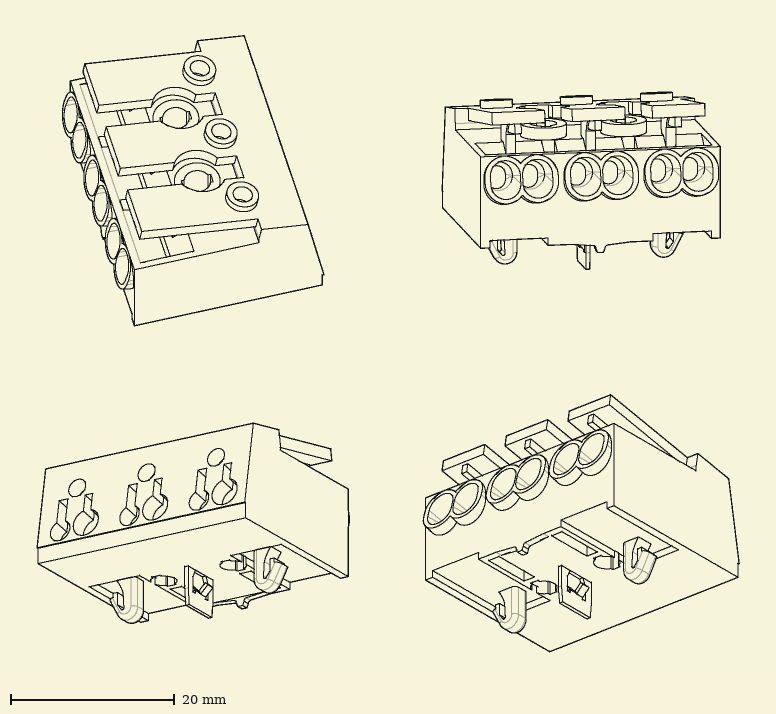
import cadquery as cq
import math

WIDTH = 29.9
POLES = 3
POLE_PITCH = 10.0

BACK_FOOT_Y = 23.83
BACK_LEDGE_Y = 24.05
BACK_LEDGE_Z = 2.0
RIDGE_Y = 22.05
RIDGE_Z = 12.98
DECK_Z = 11.45
STEP_Y = 15.8
STEP_KINK_Z = 12.23
ROOF_ANGLE = 10.0

POCKET_HALF_WIDTH = 14.1
POCKET_FRONT_Y = 1.0
POCKET_BACK_Y = 7.77
COVER_BACK_Y = 4.43
COVER_BACK_Z = 10.7
VALLEY_Y = 5.1
VALLEY_Z = 9.7

LEVER_WIDTH = 6.58
LEVER_THICK = 1.52
LEVER_REACH = 20.95
LEVER_ROOT = 5.68
RING_OUTER_R = 1.97
RING_HOLE_R = 1.2
RING_HEIGHT = 0.93
RING_Y = 14.92
CLEARANCE_R = 3.23
CLEARANCE_Y = 10.97
LEG_WIDTH = 1.2
RIB_WIDTH = 0.8
RIB_DEPTH = 1.23
RIB_INSET = 0.5
RIB_LENGTH = 4.48

BOSS_R = 2.8
BOSS_Y = 10.67
BOSS_TOP_Z = 12.95
SCREW_HOLE_R = 1.6
KEYWAY_WIDTH = 1.17
KEYWAY_LENGTH = 3.7
SLOT_WIDTH = 1.65
SLOT_FRONT_Y = 1.08

ENTRY_ANGLE = 15.0
ENTRY_OFFSET = 2.0
ENTRY_Y = -0.75
ENTRY_Z = 8.58
NOZZLE_DIAMETER = 5.15
NOZZLE_HEIGHT = 5.83
NOZZLE_LENGTH = 1.8
MOUTH_DIAMETER = 3.75
MOUTH_HEIGHT = 4.75
NECK_DIAMETER = 3.55
NECK_HEIGHT = 3.6
NECK_Y = 3.92
THROAT_END_DIAMETER = 2.2
THROAT_END_HEIGHT = 2.87
THROAT_END_Y = 4.95

BACK_HOLE_DEPTH = 2.4
BACK_HOLE_OFFSET = 1.82
LARGE_HOLE_DIAMETER = 3.6
LARGE_HOLE_Z = 4.1
LARGE_NECK_WIDTH = 1.08
SMALL_HOLE_DIAMETER = 2.78
SMALL_HOLE_Z = 3.7
SMALL_NECK_WIDTH = 1.25
NECK_TOP_Z = 8.0
UPPER_HOLE_DIAMETER = 2.42
UPPER_HOLE_Z = 9.27

RECESS_INNER_X = 6.55
RECESS_OUTER_X = 13.8
RECESS_HEIGHT = 0.93
RECESS_DEPTH = 13.75
HOOK_WIDTH = 2.42
HOOK_Y = 10.58
HOOK_BOTTOM_Z = -4.3
HOOK_ROUNDING = 0.6
NUB_DEPTH = 1.02

BLADE_THICK = 0.5
BLADE_WIDTH = 5.75
BLADE_TIP_WIDTH = 5.25
BLADE_TIP_Z = -4.95
BLADE_TAPER_Z = -2.85
BLADE_INSERTION = 1.2
WINDOW_WIDTH = 3.47
WINDOW_TOP_WIDTH = 2.4
WINDOW_BOTTOM_Z = -3.02
WINDOW_SHOULDER_Z = -1.0
TAB_WIDTH = 1.2
TAB_ANGLE = 45
TAB_LENGTH = 1.55
TAB_BASE_Z = -2.65
TAB_THICK = 0.5

SLOPE = math.tan(math.radians(ROOF_ANGLE))
ROOF_SIN = math.sin(math.radians(ROOF_ANGLE))
ROOF_COS = math.cos(math.radians(ROOF_ANGLE))
pole_xs = [(i - (POLES - 1) / 2) * POLE_PITCH for i in range(POLES)]
boss_xs = [(i - (POLES - 2) / 2) * POLE_PITCH for i in range(POLES - 1)]
entry_xs = [x + side * ENTRY_OFFSET for x in pole_xs for side in (-1, 1)]


def roof_z(y):
    """Height of the sloped roof plane, which also carries the lever tops."""
    return RIDGE_Z + (RIDGE_Y - y) * SLOPE


def along_roof(y):
    """Distance from the ridge, measured along the roof, of the roof point at y."""
    return (y - RIDGE_Y) / ROOF_COS


def roof_plane():
    """Plane on the roof, with its origin on the ridge and local y running backwards."""
    return cq.Plane(origin=(0, RIDGE_Y, RIDGE_Z), xDir=(1, 0, 0), normal=(0, ROOF_SIN, ROOF_COS))


def roof_box(x, width, y_range, z_range):
    """Box aligned with the roof."""
    y0, y1 = y_range
    z0, z1 = z_range
    return (
        cq.Workplane(roof_plane())
        .workplane(offset=z0)
        .center(x, (y0 + y1) / 2)
        .rect(width, y1 - y0)
        .extrude(z1 - z0)
    )


def side_prism(points, width, x=0.0):
    """Prism along X with a (y, z) outline, centred on x."""
    return cq.Workplane("YZ", origin=(x, 0, 0)).polyline(points).close().extrude(width / 2, both=True)


def make_block():
    step_top_y = STEP_Y + (roof_z(STEP_Y) - STEP_KINK_Z) * SLOPE
    outline = [
        (0, 0),
        (BACK_FOOT_Y, 0),
        (BACK_FOOT_Y, BACK_LEDGE_Z),
        (BACK_LEDGE_Y, BACK_LEDGE_Z),
        (RIDGE_Y, RIDGE_Z),
        (step_top_y, roof_z(step_top_y)),
        (STEP_Y, STEP_KINK_Z),
        (STEP_Y, DECK_Z),
        (0, DECK_Z),
    ]
    return side_prism(outline, WIDTH)


def make_deck_pocket():
    outline = [
        (POCKET_FRONT_Y, DECK_Z),
        (COVER_BACK_Y, COVER_BACK_Z),
        (VALLEY_Y, VALLEY_Z),
        (POCKET_BACK_Y, DECK_Z),
    ]
    return side_prism(outline, 2 * POCKET_HALF_WIDTH)


def make_lever(x):
    """Sloped lever with its stiffening rib and the leg that carries it."""
    plate = roof_box(x, LEVER_WIDTH, (-LEVER_REACH, -LEVER_ROOT), (-LEVER_THICK, 0))
    for boss_x in boss_xs:
        plate = plate.cut(
            cq.Workplane(roof_plane())
            .center(boss_x, along_roof(CLEARANCE_Y))
            .circle(CLEARANCE_R)
            .extrude(-2 * LEVER_THICK)
        )
    rib_end = RIB_INSET - LEVER_REACH
    rib_bottom = -LEVER_THICK - RIB_DEPTH
    rib = roof_box(x, RIB_WIDTH, (rib_end, rib_end + RIB_LENGTH), (rib_bottom, -LEVER_THICK))
    return plate.union(rib).union(make_leg(x))


def make_leg(x):
    front_y, back_y, embedded_z = 6.0, 8.73, 9.27
    curve_start_z, curve_middle, curve_end_y = 12.77, (5.45, 13.8), 4.45
    underside = LEVER_THICK / ROOF_COS
    back_top_y = 9.33
    return (
        cq.Workplane("YZ", origin=(x, 0, 0))
        .moveTo(back_y, embedded_z)
        .lineTo(front_y, embedded_z)
        .lineTo(front_y, curve_start_z)
        .threePointArc(curve_middle, (curve_end_y, roof_z(curve_end_y) - underside))
        .lineTo(back_top_y, roof_z(back_top_y) - underside)
        .close()
        .extrude(LEG_WIDTH / 2, both=True)
    )


def make_rings():
    return (
        cq.Workplane(roof_plane())
        .pushPoints([(x, along_roof(RING_Y)) for x in pole_xs])
        .circle(RING_OUTER_R)
        .extrude(RING_HEIGHT)
    )


def make_ring_holes():
    return (
        cq.Workplane(roof_plane())
        .workplane(offset=RING_HEIGHT)
        .pushPoints([(x, along_roof(RING_Y)) for x in pole_xs])
        .circle(RING_HOLE_R)
        .extrude(-RING_HEIGHT - LEVER_THICK)
    )


def make_bosses():
    return (
        cq.Workplane("XY")
        .pushPoints([(x, BOSS_Y) for x in boss_xs])
        .circle(BOSS_R)
        .extrude(BOSS_TOP_Z)
    )


def make_screw_holes():
    """Through holes with two keyways."""
    centres = [(x, BOSS_Y) for x in boss_xs]
    rounds = cq.Workplane("XY").pushPoints(centres).circle(SCREW_HOLE_R).extrude(BOSS_TOP_Z)
    keyways = cq.Workplane("XY").pushPoints(centres).rect(KEYWAY_WIDTH, KEYWAY_LENGTH).extrude(BOSS_TOP_Z)
    return rounds.union(keyways)


def make_slots():
    """Open slots between the poles, from the front wall back to the bosses."""
    length = BOSS_Y - BOSS_R - SLOT_FRONT_Y
    return (
        cq.Workplane("XY")
        .pushPoints([(x, SLOT_FRONT_Y + length / 2) for x in boss_xs])
        .rect(SLOT_WIDTH, length)
        .extrude(DECK_Z)
    )


def entry_workplane(x):
    """Workplane on the slanted face of a wire entry, with its normal pointing inwards."""
    angle = math.radians(ENTRY_ANGLE)
    inwards = (0, math.cos(angle), -math.sin(angle))
    return cq.Workplane(cq.Plane(origin=(x, ENTRY_Y, ENTRY_Z), xDir=(1, 0, 0), normal=inwards))


def make_nozzle(x):
    return entry_workplane(x).slot2D(NOZZLE_HEIGHT, NOZZLE_DIAMETER, 90).extrude(NOZZLE_LENGTH)


def make_funnel(x):
    """Wire entry over a level floor: a mouth that narrows to a neck, then to the end of the throat."""
    floor_z = ENTRY_Z - MOUTH_HEIGHT / 2 * math.cos(math.radians(ENTRY_ANGLE))

    def upright_section(y, height, diameter):
        centre = (x, y, floor_z + height / 2)
        plane = cq.Plane(origin=centre, xDir=(1, 0, 0), normal=(0, 1, 0))
        return cq.Workplane(plane).slot2D(height, diameter, 90)

    sections = [
        entry_workplane(x).slot2D(MOUTH_HEIGHT, MOUTH_DIAMETER, 90),
        upright_section(NECK_Y, NECK_HEIGHT, NECK_DIAMETER),
        upright_section(THROAT_END_Y, THROAT_END_HEIGHT, THROAT_END_DIAMETER),
    ]
    return cq.Workplane(cq.Solid.makeLoft([section.wires().val() for section in sections], True))


def make_back_openings(x):
    """Two keyhole openings and a round one above them, square to the sloped back face."""
    lean = math.atan2(BACK_LEDGE_Y - RIDGE_Y, RIDGE_Z - BACK_LEDGE_Z)
    plane = cq.Plane(
        origin=(x, BACK_LEDGE_Y, BACK_LEDGE_Z),
        xDir=(-1, 0, 0),
        normal=(0, math.cos(lean), math.sin(lean)),
    )

    def up_face(z):
        return (z - BACK_LEDGE_Z) / math.cos(lean)

    def hole(offset, z, diameter):
        circle = cq.Workplane(plane).center(-offset, up_face(z)).circle(diameter / 2)
        return circle.extrude(-BACK_HOLE_DEPTH)

    def neck(offset, z, width):
        middle = (up_face(z) + up_face(NECK_TOP_Z)) / 2
        length = up_face(NECK_TOP_Z) - up_face(z)
        return cq.Workplane(plane).center(-offset, middle).rect(width, length).extrude(-BACK_HOLE_DEPTH)

    large = hole(-BACK_HOLE_OFFSET, LARGE_HOLE_Z, LARGE_HOLE_DIAMETER)
    large = large.union(neck(-BACK_HOLE_OFFSET, LARGE_HOLE_Z, LARGE_NECK_WIDTH))
    small = hole(BACK_HOLE_OFFSET, SMALL_HOLE_Z, SMALL_HOLE_DIAMETER)
    small = small.union(neck(BACK_HOLE_OFFSET, SMALL_HOLE_Z, SMALL_NECK_WIDTH))
    return large.union(small).union(hole(0, UPPER_HOLE_Z, UPPER_HOLE_DIAMETER))


def make_recess():
    """Notch under the left half of the block, open to the front."""
    width = RECESS_OUTER_X - RECESS_INNER_X
    notch = cq.Workplane("XY").box(width, RECESS_DEPTH, RECESS_HEIGHT, centered=False)
    return notch.translate((-RECESS_OUTER_X, 0, 0))


def make_hook():
    """Left snap hook: a stem that turns up at the bottom into a springy barb."""
    stem_x = -8.43
    tip_x, tip_z = -12.32, -1.38
    heel_r = 1.47
    heel_x = stem_x - heel_r
    heel_z = HOOK_BOTTOM_Z + heel_r
    to_tip = math.atan2(tip_z - heel_z, tip_x - heel_x)
    tangent = to_tip + math.acos(heel_r / math.hypot(tip_x - heel_x, tip_z - heel_z))
    heel_end = (heel_x + heel_r * math.cos(tangent), heel_z + heel_r * math.sin(tangent))
    barb_outer_x, barb_inner_x = -11.57, -10.97
    barb_foot_z, barb_top_z, barb_bend_z = -1.2, -0.7, -2.27
    gap_bottom, gap_curve, gap_side = (-10.38, -3.08), (-10.15, -3.05), (-10.05, -2.72)
    flare_start, flare_middle, flare_end_x = (-10.17, -0.87), (-10.46, -0.1), -11.1
    hook = (
        cq.Workplane("XZ", origin=(0, HOOK_Y, 0))
        .moveTo(stem_x, RECESS_HEIGHT)
        .lineTo(stem_x, heel_z)
        .threePointArc((heel_x, HOOK_BOTTOM_Z), heel_end)
        .lineTo(tip_x, tip_z)
        .lineTo(barb_outer_x, barb_foot_z)
        .lineTo(barb_outer_x, barb_top_z)
        .lineTo(barb_inner_x, barb_top_z)
        .lineTo(barb_inner_x, barb_bend_z)
        .lineTo(*gap_bottom)
        .threePointArc(gap_curve, gap_side)
        .lineTo(*flare_start)
        .threePointArc(flare_middle, (flare_end_x, RECESS_HEIGHT))
        .close()
        .extrude(HOOK_WIDTH / 2, both=True)
    )
    return hook.faces(">X").edges("|Z").fillet(HOOK_ROUNDING)


def make_nub():
    """Centring nub at the front edge: a shallow swelling that curves down into a blunt point."""
    swell_half, neck_half, flank_half, tip_half = 3.75, 0.85, 0.57, 0.35
    neck_z, flank_z, tip_z = -0.27, -0.65, -1.17
    curve_half, curve_z = 0.65, -0.4
    return (
        cq.Workplane("XZ")
        .moveTo(-swell_half, 0)
        .lineTo(-neck_half, neck_z)
        .threePointArc((-curve_half, curve_z), (-flank_half, flank_z))
        .lineTo(-tip_half, tip_z)
        .lineTo(tip_half, tip_z)
        .lineTo(flank_half, flank_z)
        .threePointArc((curve_half, curve_z), (neck_half, neck_z))
        .lineTo(swell_half, 0)
        .close()
        .extrude(-NUB_DEPTH)
    )


def make_housing():
    housing = make_block().cut(make_deck_pocket())
    for x in entry_xs:
        housing = housing.union(make_nozzle(x))
    housing = housing.union(make_bosses())
    for x in pole_xs:
        housing = housing.union(make_lever(x))
    housing = housing.union(make_rings()).cut(make_ring_holes())
    housing = housing.cut(make_screw_holes()).cut(make_slots())
    for x in entry_xs:
        housing = housing.cut(make_funnel(x))
    for x in pole_xs:
        housing = housing.cut(make_back_openings(x))
    recess = make_recess()
    hook = make_hook()
    housing = housing.cut(recess).cut(recess.mirror("YZ"))
    housing = housing.union(hook).union(hook.mirror("YZ"))
    return housing.union(make_nub()).cut(make_blade_sheet())


def make_blade_sheet():
    """Flat tapered sheet without its window; its top end sits in a slot of the housing."""
    half = BLADE_WIDTH / 2
    half_tip = BLADE_TIP_WIDTH / 2
    outline = [
        (HOOK_Y - half, BLADE_INSERTION),
        (HOOK_Y - half, BLADE_TAPER_Z),
        (HOOK_Y - half_tip, BLADE_TIP_Z),
        (HOOK_Y + half_tip, BLADE_TIP_Z),
        (HOOK_Y + half, BLADE_TAPER_Z),
        (HOOK_Y + half, BLADE_INSERTION),
    ]
    return side_prism(outline, BLADE_THICK)


def make_tab(side):
    """Spring tab bent out of the window and leaning towards side * X."""
    tab = cq.Workplane("XY").box(TAB_THICK, TAB_WIDTH, TAB_LENGTH, centered=(True, True, False))
    tab = tab.rotate((0, 0, 0), (0, 1, 0), side * TAB_ANGLE)
    return tab.translate((0, HOOK_Y + side * TAB_WIDTH / 2, TAB_BASE_Z))


def make_blade():
    half = WINDOW_WIDTH / 2
    half_top = WINDOW_TOP_WIDTH / 2
    window = [
        (HOOK_Y - half, WINDOW_BOTTOM_Z),
        (HOOK_Y - half, WINDOW_SHOULDER_Z),
        (HOOK_Y - half_top, 0),
        (HOOK_Y + half_top, 0),
        (HOOK_Y + half, WINDOW_SHOULDER_Z),
        (HOOK_Y + half, WINDOW_BOTTOM_Z),
    ]
    blade = make_blade_sheet().cut(side_prism(window, BLADE_THICK))
    root = [
        (HOOK_Y - TAB_WIDTH, WINDOW_BOTTOM_Z),
        (HOOK_Y + TAB_WIDTH, WINDOW_BOTTOM_Z),
        (HOOK_Y + TAB_WIDTH, TAB_BASE_Z),
        (HOOK_Y - TAB_WIDTH, TAB_BASE_Z),
    ]
    return blade.union(side_prism(root, BLADE_THICK)).union(make_tab(-1)).union(make_tab(1))


housing = make_housing()
blade = make_blade()
result = cq.Compound.makeCompound([housing.val(), blade.val()])